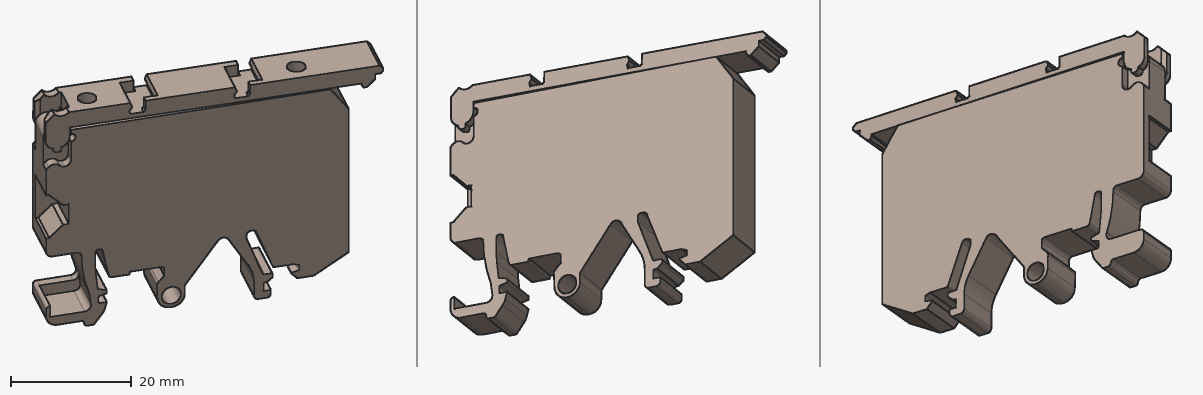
import cadquery as cq
import math


overall_length = 58.05
overall_height = 42.6
body_width = 8.1
cover_width = 7.7
side_x = body_width / 2

body_top_z = 39.15
body_rear_y = 52.05
front_bottom_z = 14.75
tongue_left_x = -2.45
tongue_right_x = 2.25
tongue_top_radius = 1.9

tube_y = 21.55
tube_z = 3.4
tube_outer_radius = 2.3
tube_hole_diameter = 3.3
tube_bottom_z = tube_z - tube_outer_radius

arm_top_y = 6.1
arm_bend_z = 10.1
arm_slope = 0.35
foot_top_z = 5.05
foot_bottom_z = 1.1
foot_floor_z = 2.9
foot_lip = 0.7
foot_pocket_rear_y = 7.9
foot_pocket_radius = 1.1
foot_pocket_top_z = 6.4

wire_pocket_top_z = 27.0
wire_pocket_bottom_z = 18.5
wire_pocket_depth = 3.9
wire_pocket_slope_start = 0.5
wire_pocket_slope_end = 2.9
wire_pocket_upper_slope_height = 2.45
wire_pocket_lower_slope_height = 2.2

notch_rear_y = 4.3
notch_bottom_z = 32.15
notch_front_z = 32.05
notch_groove_z = 37.6
notch_groove_radius = 0.75

tilt_degrees = 0.4
hinge_y = 2.1
hinge_z = 37.95
cover_top_z = overall_height
cover_bottom_z = 39.6
leg_rear_y = 4.1
leg_bottom_z = 35.8
leg_front_radius = 1.7
leg_rear_radius = 2.05
nub_front_y = 1.3
nub_rear_y = 2.65
nub_bottom_z = 35.05
nub_front_radius = 0.7
nub_rear_radius = 0.35
cover_front_chamfer = 1.45
dip_length = 2.5
dip_depth = 0.5
recess_rear_y = 4.4
recess_left_x = -2.29
recess_right_x = tongue_right_x
recess_flare_width = 0.55
recess_flare_depth = 0.75
tip_top_z = 41.95
tip_bottom_z = 41.5
cover_end_y = overall_length - (tip_top_z - hinge_z) * math.sin(math.radians(tilt_degrees))

hole_diameter = 3.15
hole_x = 0.5
hole_places_y = (8.0, 44.0)
slot_rear_places_y = (19.5, 37.5)
slot_length = 5.0
slot_arm_width = 2.6
slot_depth = 2.15
slot_left_step_x = -2.55
slot_right_step_x = 2.8
slot_edge_chamfer = 0.35
snap_ridge_height = 0.35
snap_ridge_depth = 0.85
snap_groove_height = 0.1
snap_groove_depth = 1.5


def arm_front_y(z):
    """Y of the sloped front face of the latch arm at height z."""
    return arm_top_y + (arm_bend_z - z) * arm_slope


def prism(outline, x_start, x_end):
    """Extrude a (y, z[, radius]) outline along X, rounding the corners that carry a radius."""
    count = len(outline)
    path = []
    for i, corner in enumerate(outline):
        here = cq.Vector(corner[0], corner[1])
        radius = corner[2] if len(corner) > 2 else 0
        if not radius:
            path.append((here, here, here))
            continue
        before = outline[i - 1]
        after = outline[(i + 1) % count]
        to_before = (cq.Vector(before[0], before[1]) - here).normalized()
        to_after = (cq.Vector(after[0], after[1]) - here).normalized()
        half_angle = to_before.getAngle(to_after) / 2
        reach = radius / math.tan(half_angle)
        to_middle = radius / math.sin(half_angle) - radius
        bisector = (to_before + to_after).normalized()
        path.append((here + to_before * reach, here + bisector * to_middle, here + to_after * reach))

    sketch = cq.Workplane("YZ", origin=(x_start, 0, 0)).moveTo(path[0][2].x, path[0][2].y)
    for start, middle, end in path[1:] + path[:1]:
        sketch = sketch.lineTo(start.x, start.y)
        if start is not end:
            sketch = sketch.threePointArc((middle.x, middle.y), (end.x, end.y))
    return sketch.close().extrude(x_end - x_start)


def x_cylinder(y, z, radius, x_start, x_end):
    """Cylinder along X."""
    return cq.Workplane("YZ", origin=(x_start, y, z)).circle(radius).extrude(x_end - x_start)


def body_outline():
    front_edge = [
        (0, body_top_z, tongue_top_radius),
        (0, front_bottom_z, 1.1),
        (arm_top_y, front_bottom_z, 0.85),
    ]
    latch_arm = [
        (arm_top_y, arm_bend_z, 21.8),
        (arm_front_y(foot_top_z), foot_top_z, 1.0),
        (0, foot_top_z, foot_lip),
        (0, foot_bottom_z, 2.0),
        (6.4, foot_bottom_z, 0.45),
        (6.75, 0, 0.45),
        (8.2, 0, 0.45),
        (10.0, 2.4, 2.9),
        (10.45, 4.1),
        (9.0, 4.1, 0.25),
        (9.0, 5.45, 0.25),
        (10.45, 5.8, 0.2),
        (10.45, 6.5, 0.2),
        (8.9, 6.9, 0.35),
        (8.5, 10.7, 17.4),
    ]
    arm_slot_and_step = [
        (8.5, front_bottom_z, 0.6),
        (9.65, front_bottom_z, 0.6),
        (10.85, 8.8, 0.6),
        (14.35, 8.8, 0.2),
        (14.45, 9.35),
        (20.3, 9.35, 0.65),
    ]
    clamp_tube = [
        (20.3, 7.5),
        (19.05, 6.15, 0.85),
        (tube_y - tube_outer_radius, tube_bottom_z, 2.25),
        (tube_y + tube_outer_radius, tube_bottom_z, 2.25),
        (tube_y + tube_outer_radius, 5.0, 0.3),
    ]
    spring_hook = [
        (30.5, 14.1, 1.1),
        (35.75, 5.2, 6.4),
        (35.75, 0, 0.75),
        (38.65, 0, 0.75),
        (38.65, 1.45),
        (37.4, 1.45),
        (37.4, 3.1, 0.25),
        (38.05, 3.15),
        (39.0, 3.95, 0.25),
        (39.0, 4.7, 0.3),
        (37.3, 4.7, 0.35),
        (34.45, 12.3, 0.45),
        (34.45, 13.7, 0.7),
        (36.0, 13.7, 0.7),
    ]
    rear_hook = [
        (39.05, 5.8, 0.25),
        (42.55, 5.8),
        (43.5, 5.45, 0.25),
        (43.5, 4.45, 0.25),
        (42.0, 4.2, 0.1),
        (43.2, 2.9),
        (45.95, 2.9),
    ]
    rear_edge = [
        (body_rear_y, 6.5),
        (body_rear_y, 34.7),
        (48.9, body_top_z),
    ]
    return front_edge + latch_arm + arm_slot_and_step + clamp_tube + spring_hook + rear_hook + rear_edge


def hinge_notch(x_start, x_end):
    """Side notch beside the tongue, where a cover leg swings."""
    notch = prism(
        [
            (0, body_top_z),
            (notch_rear_y, body_top_z),
            (notch_rear_y, notch_bottom_z, 1.15),
            (2.65, notch_bottom_z, 1.1),
            (1.35, 33.5, 1.35),
            (0, notch_front_z),
        ],
        x_start,
        x_end,
    )
    groove = x_cylinder(notch_rear_y, notch_groove_z, notch_groove_radius, x_start, x_end)
    return notch.union(groove)


def wire_pocket():
    """Front pocket with sloped mouth, open to the +X side."""
    upper_z = wire_pocket_top_z - wire_pocket_upper_slope_height
    lower_z = wire_pocket_bottom_z + wire_pocket_lower_slope_height
    outline = [
        (0, wire_pocket_top_z),
        (wire_pocket_slope_start, wire_pocket_top_z),
        (wire_pocket_slope_end, upper_z),
        (wire_pocket_depth, upper_z),
        (wire_pocket_depth, lower_z),
        (wire_pocket_slope_end, lower_z),
        (wire_pocket_slope_start, wire_pocket_bottom_z),
        (0, wire_pocket_bottom_z),
    ]
    return prism(outline, tongue_left_x, side_x)


def foot_pocket():
    """Hollow in the top of the latch foot, behind a thin front lip and open to +X."""
    outline = [
        (foot_lip, foot_pocket_top_z),
        (arm_front_y(foot_pocket_top_z), foot_pocket_top_z),
        (foot_pocket_rear_y, foot_floor_z, foot_pocket_radius),
        (foot_lip, foot_floor_z),
    ]
    return prism(outline, tongue_left_x, side_x)


def make_body():
    body = prism(body_outline(), -side_x, side_x)
    body = body.cut(x_cylinder(tube_y, tube_z, tube_hole_diameter / 2, -side_x, side_x))
    body = body.cut(hinge_notch(-side_x, tongue_left_x))
    body = body.cut(hinge_notch(tongue_right_x, side_x))
    return body.cut(wire_pocket()).cut(foot_pocket())


def cover_outline():
    return [
        (cover_front_chamfer, cover_top_z),
        (0, cover_top_z - cover_front_chamfer),
        (0, leg_bottom_z, leg_front_radius),
        (leg_rear_y, leg_bottom_z, leg_rear_radius),
        (leg_rear_y, cover_bottom_z),
        (54.3, cover_bottom_z),
        (54.3, 39.2),
        (54.65, 38.7),
        (55.2, 38.7),
        (56.65, 40.05),
        (56.65, 41.0),
        (57.55, 41.0),
        (cover_end_y, tip_bottom_z),
        (cover_end_y, tip_top_z),
        (57.35, cover_top_z),
    ]


def hinge_recess():
    """Opening between the cover legs, flared at its front edges."""
    return (
        cq.Workplane("XY", origin=(0, 0, nub_bottom_z))
        .polyline(
            [
                (recess_left_x - recess_flare_width, 0),
                (recess_left_x, recess_flare_depth),
                (recess_left_x, recess_rear_y),
                (recess_right_x, recess_rear_y),
                (recess_right_x, recess_flare_depth),
                (recess_right_x + recess_flare_width, 0),
            ]
        )
        .close()
        .extrude(cover_top_z - nub_bottom_z)
    )


def slot_half(rear_y):
    """Half of a cross slot: a snap ridge on the rear wall, a chamfer at the foot of the front wall."""
    front_y = rear_y - slot_arm_width
    floor_z = cover_top_z - slot_depth
    outline = [
        (rear_y, cover_top_z),
        (rear_y - snap_ridge_height, cover_top_z - snap_ridge_depth),
        (rear_y + snap_groove_height, cover_top_z - snap_groove_depth),
        (rear_y, floor_z),
        (front_y + slot_edge_chamfer, floor_z),
        (front_y, floor_z + slot_edge_chamfer),
        (front_y, cover_top_z),
    ]
    return prism(outline, -cover_width / 2, slot_right_step_x)


def cross_slot(rear_y):
    """Z-shaped slot: two halves, one turned half a turn, joined by a plain middle."""
    middle_x = (slot_left_step_x + slot_right_step_x) / 2
    middle_y = rear_y - slot_length / 2
    half = slot_half(rear_y)
    other_half = half.rotate((middle_x, middle_y, 0), (middle_x, middle_y, 1), 180)
    middle = cq.Workplane("XY", origin=(middle_x, middle_y, cover_top_z - slot_depth)).box(
        slot_right_step_x - slot_left_step_x,
        slot_length - slot_arm_width,
        slot_depth,
        centered=(True, True, False),
    )
    return half.union(other_half).union(middle)


def make_cover():
    half = cover_width / 2
    cover = prism(cover_outline(), -half, half)

    nub_outline = [
        (nub_front_y, leg_bottom_z + nub_rear_radius),
        (nub_front_y, nub_bottom_z, nub_front_radius),
        (nub_rear_y, nub_bottom_z, nub_rear_radius),
        (nub_rear_y, leg_bottom_z + nub_rear_radius),
    ]
    cover = cover.union(prism(nub_outline, -half, half))

    dip_radius = ((dip_length / 2) ** 2 + dip_depth**2) / (2 * dip_depth)
    dip_y = cover_front_chamfer + dip_length / 2
    dip_z = cover_top_z - dip_depth + dip_radius
    cover = cover.cut(x_cylinder(dip_y, dip_z, dip_radius, -half, half))
    cover = cover.cut(hinge_recess())

    for rear_y in slot_rear_places_y:
        cover = cover.cut(cross_slot(rear_y))

    holes = (
        cq.Workplane("XY", origin=(0, 0, cover_bottom_z))
        .pushPoints([(hole_x, y) for y in hole_places_y])
        .circle(hole_diameter / 2)
        .extrude(cover_top_z - cover_bottom_z)
    )
    cover = cover.cut(holes)
    return cover.rotate((0, hinge_y, hinge_z), (1, hinge_y, hinge_z), -tilt_degrees)


result = make_body().union(make_cover())